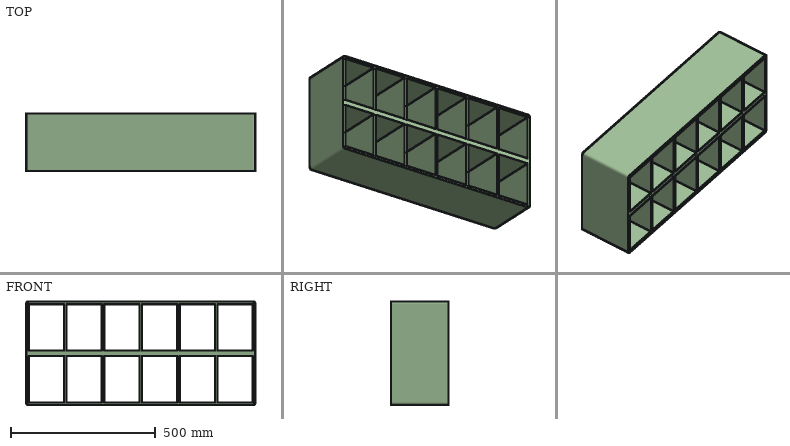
import cadquery as cq

WIDTH = 793.0
DEPTH = 200.0
HEIGHT = 359.0

COLUMNS = 6
ROWS = 2

WALL = 10.0
SHELF = 2 * WALL
CORNER_RADIUS = 10.0

CELL_WIDTH = (WIDTH - (COLUMNS + 1) * WALL) / COLUMNS
CELL_HEIGHT = (HEIGHT - 2 * WALL - (ROWS - 1) * SHELF) / ROWS


def make_case():
    """Solid block with its four long corner edges rounded."""
    return cq.Workplane("XY").box(WIDTH, DEPTH, HEIGHT).edges("|Y").fillet(CORNER_RADIUS)


def cut_compartments(body):
    """Cut the grid of rectangular compartments right through the depth."""
    column_pitch = CELL_WIDTH + WALL
    row_pitch = CELL_HEIGHT + SHELF
    return (
        body.faces("<Y")
        .workplane(origin=(0, 0, 0))
        .rarray(column_pitch, row_pitch, COLUMNS, ROWS)
        .rect(CELL_WIDTH, CELL_HEIGHT)
        .cutThruAll()
    )


result = cut_compartments(make_case())